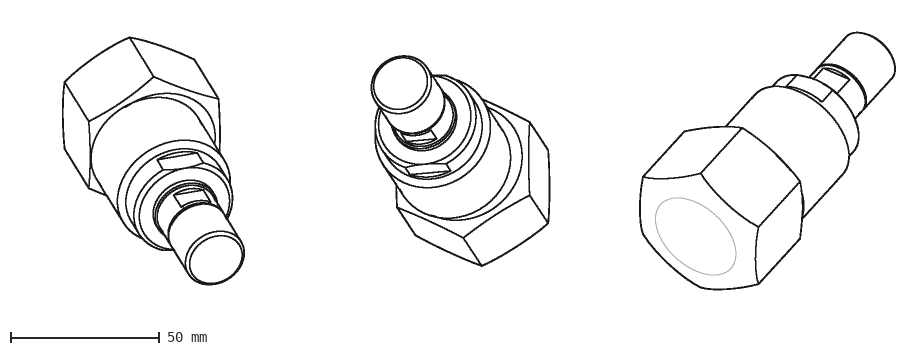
import cadquery as cq
import math

HEX_END = 32.0
BODY_END = 62.0
COLLAR_FLAT_START = 64.0
COLLAR_END = 72.0
NECK_END = 74.0
SHANK_FLAT_START = 76.4
SHANK_FLAT_LENGTH = 8.0
GROOVE_START = 86.0
GROOVE_WIDTH = 0.7
TOTAL_LENGTH = 106.03

HEX_ACROSS_FLATS = 46.0
HEX_CORNER_RADIUS = HEX_ACROSS_FLATS / 2 / math.cos(math.pi / 6)
END_FACE_RADIUS = 16.0
DOME_RADIUS = 18.5
CORNER_TURN = 90.0
HEX_BACK_RADIUS = 21.0
HEX_BACK_BEVEL_LENGTH = 2.4

BODY_RADIUS = 20.0
BODY_AXIS_Y = BODY_RADIUS - HEX_ACROSS_FLATS / 2

COLLAR_RADIUS = 17.5
NECK_RADIUS = 11.09
SHANK_RADIUS = 10.42
GROOVE_RADIUS = SHANK_RADIUS - GROOVE_WIDTH
SHANK_TIP_RADIUS = 9.315

BODY_BEVEL_ANGLE = math.radians(60)
BODY_BEVEL_LENGTH = (BODY_RADIUS - COLLAR_RADIUS) / math.tan(BODY_BEVEL_ANGLE)
COLLAR_CHAMFER_LENGTH = 1.3
COLLAR_CHAMFER_DEPTH = 1.5
NECK_BEVEL_LENGTH = 0.25
SHANK_CHAMFER = SHANK_RADIUS - SHANK_TIP_RADIUS

COLLAR_ACROSS_FLATS = 32.0
SHANK_ACROSS_FLATS = 18.0


def dome_point(radius):
    """Point on the dome arc, which leaves the flat end face tangentially."""
    rise = radius - END_FACE_RADIUS
    return (DOME_RADIUS - math.sqrt(DOME_RADIUS**2 - rise**2), radius)


def revolve_about_x(profile):
    """Close a half outline, starting and ending on the X axis, and spin it about that axis."""
    return profile.close().revolve(360, (0, 0, 0), (1, 0, 0))


def make_hex_head():
    """Hexagonal prism with corners on +Z and -Z, trimmed by a turned envelope."""
    prism = (
        cq.Workplane("YZ")
        .polygon(6, 2 * HEX_CORNER_RADIUS)
        .extrude(HEX_END)
        .rotate((0, 0, 0), (1, 0, 0), CORNER_TURN)
    )
    mid_arc_radius = (END_FACE_RADIUS + HEX_CORNER_RADIUS) / 2
    envelope = (
        cq.Workplane("XY")
        .moveTo(0, 0)
        .lineTo(0, END_FACE_RADIUS)
        .threePointArc(dome_point(mid_arc_radius), dome_point(HEX_CORNER_RADIUS))
        .lineTo(HEX_END - HEX_BACK_BEVEL_LENGTH, HEX_CORNER_RADIUS)
        .lineTo(HEX_END, HEX_BACK_RADIUS)
        .lineTo(HEX_END, 0)
    )
    return prism.intersect(revolve_about_x(envelope))


def make_turned_body():
    """Stepped body, collar, neck and shank, turned about the X axis.

    The shank groove has a square wall on its body side and a 45 degree bevel on its free side.
    """
    profile = cq.Workplane("XY").polyline(
        [
            (HEX_END, 0),
            (HEX_END, BODY_RADIUS),
            (BODY_END - BODY_BEVEL_LENGTH, BODY_RADIUS),
            (BODY_END, COLLAR_RADIUS),
            (COLLAR_END - COLLAR_CHAMFER_LENGTH, COLLAR_RADIUS),
            (COLLAR_END, COLLAR_RADIUS - COLLAR_CHAMFER_DEPTH),
            (COLLAR_END, NECK_RADIUS),
            (NECK_END, NECK_RADIUS),
            (NECK_END + NECK_BEVEL_LENGTH, SHANK_RADIUS),
            (GROOVE_START, SHANK_RADIUS),
            (GROOVE_START, GROOVE_RADIUS),
            (GROOVE_START + GROOVE_WIDTH, SHANK_RADIUS),
            (TOTAL_LENGTH - SHANK_CHAMFER, SHANK_RADIUS),
            (TOTAL_LENGTH, SHANK_TIP_RADIUS),
            (TOTAL_LENGTH, 0),
        ]
    )
    return revolve_about_x(profile)


def cut_flat_pair(part, start, length, across_flats, radius):
    """Cut two opposite wrench flats into a round section of the given radius."""
    for side in (1, -1):
        cutter = (
            cq.Workplane("XY", origin=(start, 0, side * across_flats / 2))
            .rect(length, 2 * radius, centered=(False, True))
            .extrude(side * radius)
        )
        part = part.cut(cutter)
    return part


def make_flatted_body():
    """Turned body with both pairs of wrench flats, moved onto its eccentric axis."""
    body = make_turned_body()
    collar_flat_length = COLLAR_END - COLLAR_FLAT_START
    body = cut_flat_pair(body, COLLAR_FLAT_START, collar_flat_length, COLLAR_ACROSS_FLATS, COLLAR_RADIUS)
    body = cut_flat_pair(body, SHANK_FLAT_START, SHANK_FLAT_LENGTH, SHANK_ACROSS_FLATS, SHANK_RADIUS)
    return body.translate((0, BODY_AXIS_Y, 0))


result = make_hex_head().union(make_flatted_body())